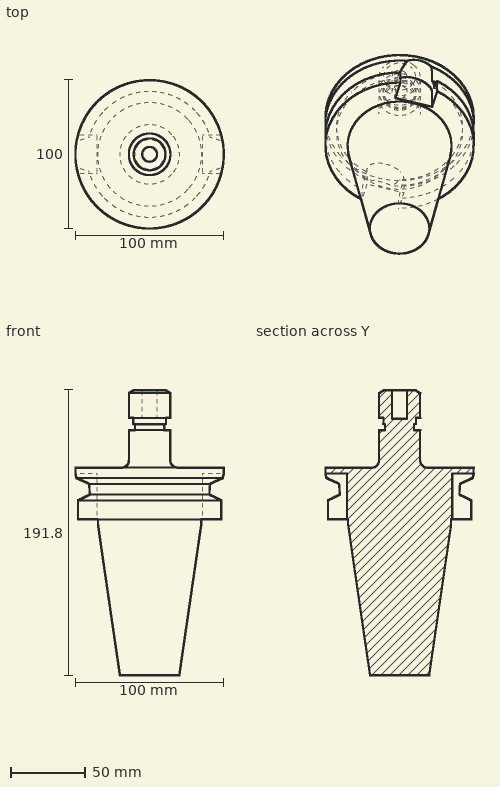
import cadquery as cq

total_height = 191.8
gauge_height = 102.0
flange_bottom = 105.0
flange_top = 139.8
groove_centre = 125.2
groove_floor_width = 7.3
groove_mouth_width = 15.0
stem_top = 165.0
collar_bottom = 169.2
collar_bevel_height = 0.5
head_bottom = 173.2
head_chamfer_height = 2.0

taper_radius = 35.0
taper_ratio = 7 / 24
taper_end_radius = taper_radius - gauge_height * taper_ratio / 2
flange_diameter = 100.0
flange_radius = flange_diameter / 2
groove_radius = 42.4
stem_radius = 14.0
stem_fillet = 4.8
neck_radius = 10.0
collar_radius = 11.1
head_rim_radius = 10.7

bore_diameter = 10.0
bore_depth = 19.2

slot_width = 25.7
slot_top = 135.8
slot_floor_offset = 35.5


def make_body():
    """Revolve the taper, grooved flange, stem and head about Z."""
    groove_floor_low = groove_centre - groove_floor_width / 2
    groove_floor_high = groove_centre + groove_floor_width / 2
    groove_mouth_low = groove_centre - groove_mouth_width / 2
    groove_mouth_high = groove_centre + groove_mouth_width / 2
    profile = (
        cq.Workplane("XZ")
        .lineTo(taper_end_radius, 0)
        .lineTo(taper_radius, gauge_height)
        .lineTo(taper_radius, flange_bottom)
        .lineTo(flange_radius, flange_bottom)
        .lineTo(flange_radius, groove_mouth_low)
        .lineTo(groove_radius, groove_floor_low)
        .lineTo(groove_radius, groove_floor_high)
        .lineTo(flange_radius, groove_mouth_high)
        .lineTo(flange_radius, flange_top)
        .lineTo(stem_radius + stem_fillet, flange_top)
        .radiusArc((stem_radius, flange_top + stem_fillet), stem_fillet)
        .lineTo(stem_radius, stem_top)
        .lineTo(neck_radius, stem_top)
        .lineTo(neck_radius, collar_bottom - collar_bevel_height)
        .lineTo(collar_radius, collar_bottom)
        .lineTo(collar_radius, head_bottom)
        .lineTo(stem_radius, head_bottom)
        .lineTo(stem_radius, total_height - head_chamfer_height)
        .lineTo(head_rim_radius, total_height)
        .lineTo(0, total_height)
        .close()
    )
    return profile.revolve(360, (0, 0, 0), (0, 1, 0))


def make_slot(side):
    """Round-topped slot cutter on the +X (side = 1) or -X (side = -1) face."""
    half_width = slot_width / 2
    arc_centre = slot_top - half_width
    depth = flange_radius - slot_floor_offset
    return (
        cq.Workplane("YZ", origin=(side * slot_floor_offset, 0, 0))
        .moveTo(-half_width, flange_bottom)
        .lineTo(half_width, flange_bottom)
        .lineTo(half_width, arc_centre)
        .threePointArc((0, slot_top), (-half_width, arc_centre))
        .close()
        .extrude(side * depth)
    )


result = make_body()
for side in (-1, 1):
    result = result.cut(make_slot(side))
bore = cq.Workplane(origin=(0, 0, total_height)).circle(bore_diameter / 2).extrude(-bore_depth)
result = result.cut(bore)